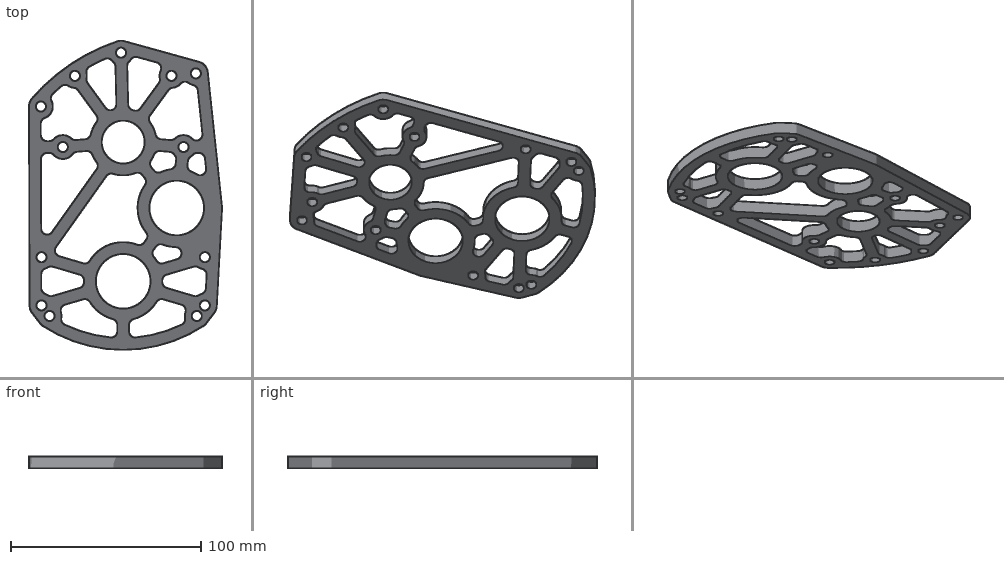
import cadquery as cq
import math

length = 162.6
thickness = 6.3
web = 6.3
pocket_corner_radius = 3.1
bolt_radius = 2.6

lower_bore = (0, 0)
upper_bore = (0, 73.2)
side_bore = (28.1, 38.5)
large_bore_radius = 14.3
small_bore_radius = 11.2
bores = [
    (lower_bore, large_bore_radius),
    (upper_bore, small_bore_radius),
    (side_bore, large_bore_radius),
]

top_bolt = (-1.1, 120.2)
upper_right_bolt = (38.2, 109.3)
upper_left_bolt = (-43.3, 91.9)
left_shoulder, right_shoulder = (-25.4, 108.0), (25.4, 108.0)
left_arm, right_arm = (-31.7, 70.5), (31.7, 70.5)
left_upper_side, right_upper_side = (-43.0, 12.7), (43.0, 12.7)
left_lower_side, right_lower_side = (-43.0, -12.7), (43.0, -12.7)
left_bottom, right_bottom = (-38.7, -18.2), (38.7, -18.2)
bolts = [
    top_bolt,
    upper_right_bolt,
    upper_left_bolt,
    left_shoulder,
    right_shoulder,
    left_arm,
    right_arm,
    left_upper_side,
    right_upper_side,
    left_lower_side,
    right_lower_side,
    left_bottom,
    right_bottom,
]

side_corner = (45.7, side_bore[1])
plate_bottom = top_bolt[1] + web - length
bottom_point = (0, plate_bottom + web)

rim_left_of_arm = (upper_left_bolt[0], left_arm[1])
rim_right_of_arm = (side_corner[0], right_arm[1])

spokes = [
    (upper_bore, top_bolt),
    (upper_bore, left_shoulder),
    (upper_bore, right_shoulder),
    (upper_bore, left_arm),
    (upper_bore, right_arm),
    (upper_bore, left_upper_side),
    (upper_bore, side_bore),
    (left_arm, rim_left_of_arm),
    (right_arm, rim_right_of_arm),
    (right_arm, side_bore),
    (lower_bore, side_bore),
    (lower_bore, left_upper_side),
    (lower_bore, right_upper_side),
    (lower_bore, left_lower_side),
    (lower_bore, right_lower_side),
    (lower_bore, bottom_point),
]

pad_left = 30.5
pad_bottom = right_upper_side[1]


def rim_line():
    return (
        cq.Workplane()
        .moveTo(*top_bolt)
        .lineTo(*upper_right_bolt)
        .lineTo(*side_corner)
        .lineTo(*right_lower_side)
        .lineTo(*right_bottom)
        .threePointArc(bottom_point, left_bottom)
        .lineTo(*left_lower_side)
        .lineTo(*upper_left_bolt)
        .threePointArc(left_shoulder, top_bolt)
        .close()
    )


def disc(center, radius):
    return cq.Workplane().moveTo(*center).circle(radius).extrude(thickness)


def bar(start, end, width):
    run_x, run_y = end[0] - start[0], end[1] - start[1]
    return (
        cq.Workplane()
        .rect(math.hypot(run_x, run_y), width)
        .extrude(thickness)
        .rotate((0, 0, 0), (0, 0, 1), math.degrees(math.atan2(run_y, run_x)))
        .translate(((start[0] + end[0]) / 2, (start[1] + end[1]) / 2, 0))
    )


def pockets():
    grow = pocket_corner_radius
    cores = rim_line().offset2D(-grow).extrude(thickness)
    for center, radius in bores:
        cores = cores.cut(disc(center, radius + web + grow))
    for center in bolts:
        cores = cores.cut(disc(center, web + grow))
    for start, end in spokes:
        cores = cores.cut(bar(start, end, web + 2 * grow))
    pad_size = (side_corner[0] - pad_left + grow, side_bore[1] - pad_bottom, thickness)
    pad = cq.Workplane().box(*pad_size, centered=False).translate((pad_left - grow, pad_bottom, 0))
    cores = cores.cut(pad)
    return [
        cq.Workplane().add(face.outerWire()).toPending().offset2D(grow).extrude(thickness)
        for face in cores.faces("<Z").vals()
    ]


plate = rim_line().offset2D(web).extrude(thickness)
for pocket in pockets():
    plate = plate.cut(pocket)
for center, radius in bores:
    plate = plate.cut(disc(center, radius))
for center in bolts:
    plate = plate.cut(disc(center, bolt_radius))

result = plate